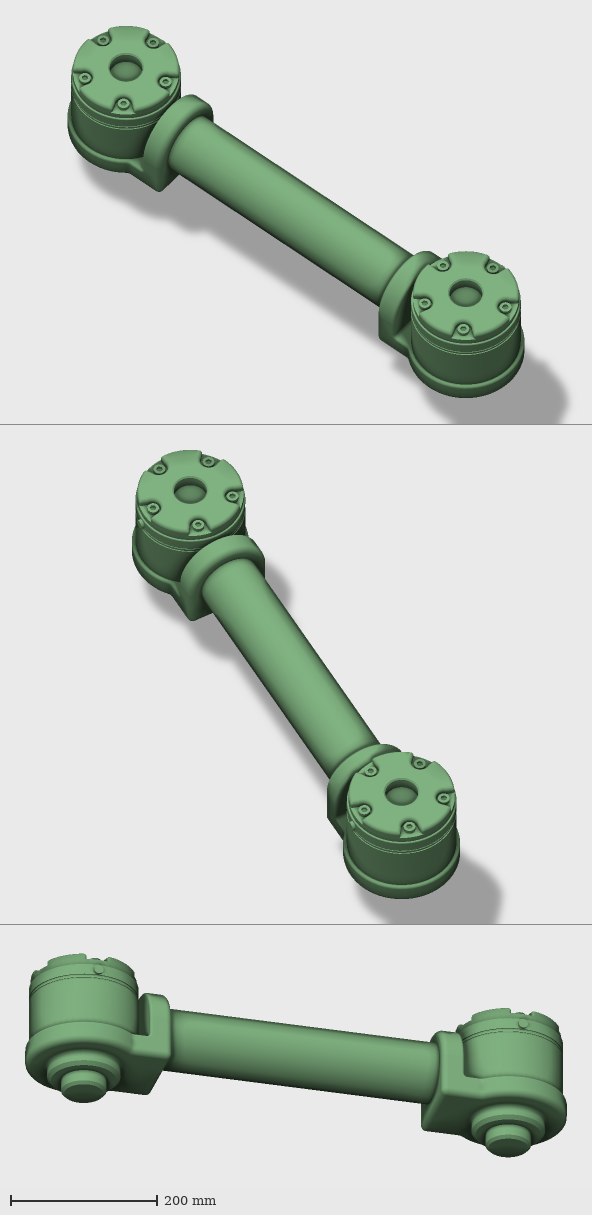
import math

import cadquery as cq

JOINT_SPACING = 600.0
TOTAL_HEIGHT = 180.0
TUBE_RADIUS = 42.5
TUBE_AXIS_Z = 100.0

SPIGOT_RADIUS = 31.0
SPIGOT_HEIGHT = 20.0
SPIGOT_CHAMFER = 4.0
DISC_RADIUS = 50.0
DISC_CHAMFER = 5.0
DISC_FLARE = 5.0

FLANGE_RADIUS = 80.0
FLANGE_BOTTOM_Z = 40.0
FLANGE_TOP_Z = 70.0
PLATE_HALF_WIDTH = 60.0
PLATE_INNER_X = 78.0
PLATE_OUTER_X = 109.0
BRACKET_BLEND = 10.0
BRACKET_OUTER_FILLET = 8.0
BRACKET_RIM_FILLET = 3.5
BRACKET_CORNER_FILLET = 5.0

HOUSING_RADIUS = 75.0
HOUSING_TOP_Z = 161.5
HOUSING_FILLET = 1.5
GROOVE_DEPTH = 1.5
GROOVE_RING_RADIUS = 74.5
GROOVE_RING_GAP = 2.3
GROOVE_BOTTOM_Z = 138.5
GROOVE_TOP_Z = 145.5

CAP_RADIUS = 72.5
CAP_FILLET = 5.0
RECESS_RADIUS = 22.5
RECESS_DEPTH = 18.0
RECESS_CHAMFER = 2.0
NOTCH_COUNT = 5
FIRST_NOTCH_ANGLE = 90.0
NOTCH_DEPTH = 10.0
NOTCH_RADIUS = 12.0
NOTCH_CORNER_FILLET = 3.0
NOTCH_CENTRE_RADIUS = 59.5
NOTCH_FLARE_HALF_WIDTH = 18.0
SCREW_CENTRE_RADIUS = 58.0
SCREW_HEAD_RADIUS = 8.0
SCREW_HEAD_HEIGHT = 6.0
SCREW_SOCKET_WIDTH = 8.0
SCREW_SOCKET_DEPTH = 4.0

PLUG_RADIUS = 6.5
PLUG_Z = 152.0
PLUG_REACH = 79.5

SELECT_MARGIN = 0.5


def cylinder(radius, bottom, top):
    return cq.Workplane("XY").workplane(offset=bottom).circle(radius).extrude(top - bottom)


def make_spigot_and_disc():
    """Stepped lower end, flaring into the underside of the flange."""
    spigot = cylinder(SPIGOT_RADIUS, 0, SPIGOT_HEIGHT).faces("<Z").chamfer(SPIGOT_CHAMFER)
    disc = cylinder(DISC_RADIUS, SPIGOT_HEIGHT, FLANGE_BOTTOM_Z).faces("<Z").chamfer(DISC_CHAMFER)
    flare = (
        cq.Workplane("XZ")
        .moveTo(0, FLANGE_BOTTOM_Z)
        .lineTo(DISC_RADIUS + DISC_FLARE, FLANGE_BOTTOM_Z)
        .radiusArc((DISC_RADIUS, FLANGE_BOTTOM_Z - DISC_FLARE), -DISC_FLARE)
        .lineTo(0, FLANGE_BOTTOM_Z - DISC_FLARE)
        .close()
        .revolve(360, (0, 0, 0), (0, 1, 0))
    )
    return spigot.union(disc).union(flare)


def edges_near(x, y, z):
    """Selector for edges whose centre lies at the given point, within a small margin."""
    low = (x - SELECT_MARGIN, y - SELECT_MARGIN, z - SELECT_MARGIN)
    high = (x + SELECT_MARGIN, y + SELECT_MARGIN, z + SELECT_MARGIN)
    return cq.selectors.BoxSelector(low, high)


def make_bracket_base():
    """Round flange with a flat-sided web reaching +X, blended where they meet."""
    web = (
        cq.Workplane("XY")
        .workplane(offset=FLANGE_BOTTOM_Z)
        .center(PLATE_OUTER_X / 2, 0)
        .rect(PLATE_OUTER_X, 2 * PLATE_HALF_WIDTH)
        .extrude(FLANGE_TOP_Z - FLANGE_BOTTOM_Z)
    )
    base = cylinder(FLANGE_RADIUS, FLANGE_BOTTOM_Z, FLANGE_TOP_Z).union(web)
    meet_x = math.sqrt(FLANGE_RADIUS**2 - PLATE_HALF_WIDTH**2)
    middle_z = (FLANGE_BOTTOM_Z + FLANGE_TOP_Z) / 2
    for meet_y in (-PLATE_HALF_WIDTH, PLATE_HALF_WIDTH):
        base = base.edges(edges_near(meet_x, meet_y, middle_z)).fillet(BRACKET_BLEND)
    return base


def make_plate():
    """Upright plate with a round top concentric with the tube."""
    return (
        cq.Workplane("YZ")
        .workplane(offset=PLATE_INNER_X)
        .moveTo(-PLATE_HALF_WIDTH, FLANGE_BOTTOM_Z)
        .lineTo(-PLATE_HALF_WIDTH, TUBE_AXIS_Z)
        .threePointArc((0, TUBE_AXIS_Z + PLATE_HALF_WIDTH), (PLATE_HALF_WIDTH, TUBE_AXIS_Z))
        .lineTo(PLATE_HALF_WIDTH, FLANGE_BOTTOM_Z)
        .close()
        .extrude(PLATE_OUTER_X - PLATE_INNER_X)
    )


def make_bracket():
    """L-shaped bracket with a filleted inside corner and rounded edges."""
    bracket = make_bracket_base().union(make_plate())
    bracket = bracket.edges(edges_near(PLATE_INNER_X, 0, FLANGE_TOP_Z)).fillet(BRACKET_CORNER_FILLET)
    bracket = bracket.faces("<Z or >X").edges().fillet(BRACKET_OUTER_FILLET)
    flange_rim = cq.selectors.BoxSelector(
        (-FLANGE_RADIUS, -SELECT_MARGIN, FLANGE_TOP_Z - SELECT_MARGIN),
        (0, SELECT_MARGIN, FLANGE_TOP_Z + SELECT_MARGIN),
    )
    return bracket.edges(flange_rim).fillet(BRACKET_RIM_FILLET)


def make_housing():
    """Round housing with a ringed groove around it and a plug on its back."""
    housing = cylinder(HOUSING_RADIUS, FLANGE_TOP_Z, HOUSING_TOP_Z)
    housing = housing.faces(">Z").edges().fillet(HOUSING_FILLET)
    groove_floor = cylinder(HOUSING_RADIUS - GROOVE_DEPTH, GROOVE_BOTTOM_Z, GROOVE_TOP_Z)
    ring = cylinder(GROOVE_RING_RADIUS, GROOVE_BOTTOM_Z + GROOVE_RING_GAP, GROOVE_TOP_Z - GROOVE_RING_GAP)
    groove = cylinder(HOUSING_RADIUS, GROOVE_BOTTOM_Z, GROOVE_TOP_Z).cut(groove_floor).cut(ring)
    plug = cq.Workplane("XZ").center(0, PLUG_Z).circle(PLUG_RADIUS).extrude(-PLUG_REACH)
    return housing.cut(groove).union(plug)


def make_notch():
    """Cutter for one screw notch, pointing along +X and widening to the rim."""
    floor = cq.Workplane("XY").workplane(offset=TOTAL_HEIGHT - NOTCH_DEPTH)
    seat = floor.center(NOTCH_CENTRE_RADIUS, 0).circle(NOTCH_RADIUS).extrude(NOTCH_DEPTH)
    flare = (
        floor.moveTo(NOTCH_CENTRE_RADIUS, -NOTCH_RADIUS)
        .lineTo(FLANGE_RADIUS, -NOTCH_FLARE_HALF_WIDTH)
        .lineTo(FLANGE_RADIUS, NOTCH_FLARE_HALF_WIDTH)
        .lineTo(NOTCH_CENTRE_RADIUS, NOTCH_RADIUS)
        .close()
        .extrude(NOTCH_DEPTH)
    )
    return seat.union(flare)


def make_screw():
    """Socket screw head standing on a notch floor."""
    return (
        cq.Workplane("XY")
        .workplane(offset=TOTAL_HEIGHT - NOTCH_DEPTH)
        .center(SCREW_CENTRE_RADIUS, 0)
        .circle(SCREW_HEAD_RADIUS)
        .extrude(SCREW_HEAD_HEIGHT)
        .faces(">Z")
        .workplane()
        .polygon(6, SCREW_SOCKET_WIDTH, circumscribed=True)
        .cutBlind(-SCREW_SOCKET_DEPTH)
    )


def make_recess():
    """Cutter for the central recess with its chamfered mouth."""
    floor_z = TOTAL_HEIGHT - RECESS_DEPTH
    return (
        cq.Workplane("XZ")
        .moveTo(0, floor_z)
        .lineTo(RECESS_RADIUS, floor_z)
        .lineTo(RECESS_RADIUS, TOTAL_HEIGHT - RECESS_CHAMFER)
        .lineTo(RECESS_RADIUS + RECESS_CHAMFER, TOTAL_HEIGHT)
        .lineTo(0, TOTAL_HEIGHT)
        .close()
        .revolve(360, (0, 0, 0), (0, 1, 0))
    )


def is_on_cap_rim(edge):
    centre = edge.Center()
    return math.hypot(centre.x, centre.y) > CAP_RADIUS - SELECT_MARGIN


def make_cap():
    """Rounded cap with a central recess and evenly spaced screw notches."""
    cap = cylinder(CAP_RADIUS, HOUSING_TOP_Z, TOTAL_HEIGHT)
    angles = [FIRST_NOTCH_ANGLE + i * 360 / NOTCH_COUNT for i in range(NOTCH_COUNT)]
    for angle in angles:
        cap = cap.cut(make_notch().rotate((0, 0, 0), (0, 0, 1), angle))
    notch_corners = cap.edges("|Z").filter(is_on_cap_rim)
    cap = notch_corners.fillet(NOTCH_CORNER_FILLET)
    cap = cap.faces(">Z").edges().fillet(CAP_FILLET)
    cap = cap.cut(make_recess())
    for angle in angles:
        cap = cap.union(make_screw().rotate((0, 0, 0), (0, 0, 1), angle))
    return cap


def make_joint():
    """One joint on the Z axis, with its plate facing +X."""
    return make_bracket().union(make_spigot_and_disc()).union(make_housing()).union(make_cap())


left_joint = make_joint().translate((-JOINT_SPACING / 2, 0, 0))
right_joint = left_joint.mirror("YZ")
tube_length = JOINT_SPACING - PLATE_INNER_X - PLATE_OUTER_X
tube = (
    cq.Workplane("YZ")
    .workplane(offset=-tube_length / 2)
    .center(0, TUBE_AXIS_Z)
    .circle(TUBE_RADIUS)
    .extrude(tube_length)
)
result = left_joint.union(tube).union(right_joint)